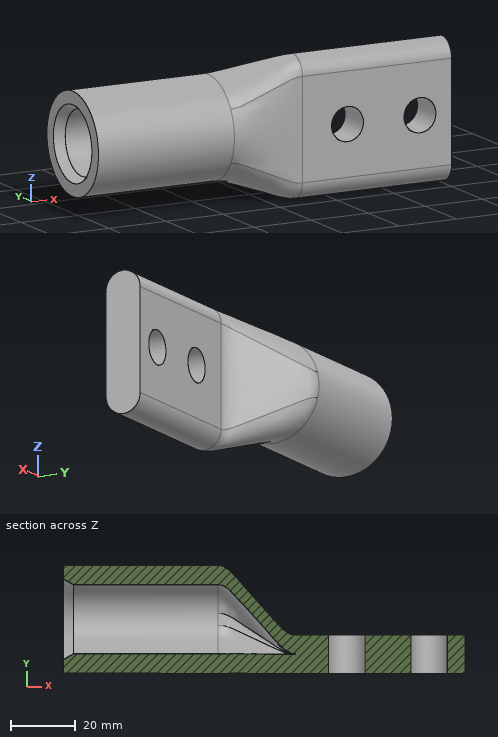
import cadquery as cq
import math

barrel_diameter = 33.4
barrel_length = 47.625
bore_diameter = 21.2
mouth_diameter = 24.8
mouth_depth = 3.175

overall_length = 123.825
tongue_width = 45.64
tongue_thickness = 12.0
transition_length = 23.8125

hole_diameter = 11.1
hole_count = 2
hole_spacing = 25.4
first_hole_setback = 15.875

front_corner_angle = 31.0
back_corner_angle = 14.0
cavity_corner_angle = 80.0
ease_fraction = 0.2
transition_steps = (0, 0.1, 0.2, 0.35, 0.5, 0.65, 0.8, 0.9, 1)
slit_thickness = 0.1

barrel_radius = barrel_diameter / 2
bore_radius = bore_diameter / 2
tongue_start = barrel_length + transition_length
tongue_center_y = tongue_thickness / 2 - barrel_radius
slit_width = tongue_width - tongue_thickness


def circle_point(radius, angle):
    """Point (y, z) on a circle about the axis, at an angle in degrees from +Y toward +Z."""
    return (radius * math.cos(math.radians(angle)), radius * math.sin(math.radians(angle)))


def circle_points(radius, front_angle, back_angle):
    """Eight (y, z) points on a circle about the axis: the corners and the middle of each side."""
    angles = [
        180 + front_angle,
        180,
        180 - front_angle,
        90,
        back_angle,
        0,
        -back_angle,
        -90,
    ]
    return [circle_point(radius, angle) for angle in angles]


def stadium_points(width, thickness):
    """The matching eight points on a round-ended slot shape centered in the tongue."""
    half_thickness = thickness / 2
    half_width = width / 2
    half_flat = half_width - half_thickness
    low_y = tongue_center_y - half_thickness
    high_y = tongue_center_y + half_thickness
    return [
        (low_y, -half_flat),
        (low_y, 0),
        (low_y, half_flat),
        (tongue_center_y, half_width),
        (high_y, half_flat),
        (high_y, 0),
        (high_y, -half_flat),
        (tongue_center_y, -half_width),
    ]


def eased(step):
    """Blend from 0 to 1: straight in the middle, parabolic at both ends."""
    if step > 0.5:
        return 1 - eased(1 - step)
    slope = 1 / (1 - ease_fraction)
    if step < ease_fraction:
        return slope * step**2 / (2 * ease_fraction)
    return slope * (step - ease_fraction / 2)


def side(start, middle, end, is_straight):
    if is_straight:
        return cq.Edge.makeLine(start, end)
    return cq.Edge.makeThreePointArc(start, middle, end)


def section(step, start_points, end_points):
    """Closed four-sided wire part of the way along the transition."""
    x = barrel_length + transition_length * step
    blend = eased(step)
    points = []
    for (y0, z0), (y1, z1) in zip(start_points, end_points):
        points.append(cq.Vector(x, y0 + (y1 - y0) * blend, z0 + (z1 - z0) * blend))
    is_flat = step == 1
    sides = [
        side(points[0], points[1], points[2], is_flat),
        side(points[2], points[3], points[4], False),
        side(points[4], points[5], points[6], is_flat),
        side(points[6], points[7], points[0], False),
    ]
    return cq.Wire.assembleEdges(sides)


def transition(start_points, end_points):
    sections = [section(step, start_points, end_points) for step in transition_steps]
    return cq.Workplane(cq.Solid.makeLoft(sections))


def make_barrel():
    return cq.Workplane("YZ").circle(barrel_radius).extrude(barrel_length)


def make_tongue():
    return (
        cq.Workplane("YZ", origin=(tongue_start, 0, 0))
        .center(tongue_center_y, 0)
        .slot2D(tongue_width, tongue_thickness, 90)
        .extrude(overall_length - tongue_start)
    )


def make_bore():
    """Revolved bore with a tapered mouth at the open end."""
    return (
        cq.Workplane("XY")
        .polyline(
            [
                (0, 0),
                (0, mouth_diameter / 2),
                (mouth_depth, bore_radius),
                (barrel_length, bore_radius),
                (barrel_length, 0),
            ]
        )
        .close()
        .revolve(360, (0, 0, 0), (1, 0, 0))
    )


def make_bolt_holes():
    hole_positions = [(tongue_start + first_hole_setback + i * hole_spacing, 0) for i in range(hole_count)]
    return (
        cq.Workplane("XZ")
        .pushPoints(hole_positions)
        .circle(hole_diameter / 2)
        .extrude(barrel_radius, both=True)
    )


outer_transition = transition(
    circle_points(barrel_radius, front_corner_angle, back_corner_angle),
    stadium_points(tongue_width, tongue_thickness),
)
cavity = transition(
    circle_points(bore_radius, cavity_corner_angle, cavity_corner_angle),
    stadium_points(slit_width, slit_thickness),
)

result = (
    make_barrel()
    .union(outer_transition)
    .union(make_tongue())
    .cut(make_bore())
    .cut(cavity)
    .cut(make_bolt_holes())
)